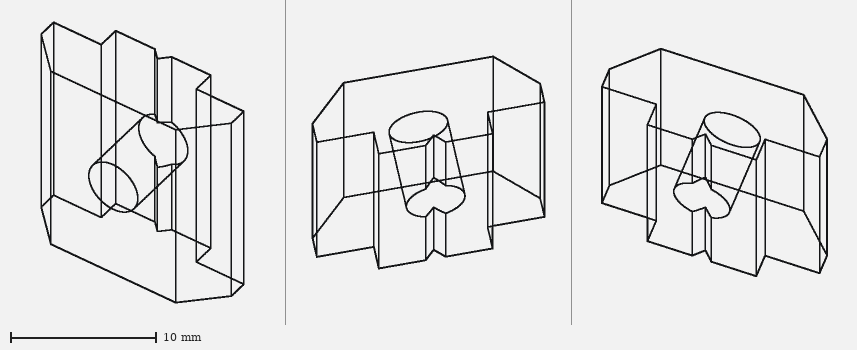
import cadquery as cq

width = 16.0
depth = 6.0
height = 16.0

bevel = 2.75
shoulder_y = 4.25
tongue_width = 8.0
groove_depth = 0.7

hole_diameter = 4.13

half_width = width / 2
half_tongue = tongue_width / 2
groove_half_width = groove_depth

half_profile = [
    (0, 0),
    (half_width - bevel, 0),
    (half_width, bevel),
    (half_width, shoulder_y),
    (half_tongue, shoulder_y),
    (half_tongue, depth),
    (groove_half_width, depth),
    (0, depth - groove_depth),
]

body = (
    cq.Workplane("XY")
    .workplane(offset=-height / 2)
    .polyline(half_profile)
    .mirrorY()
    .extrude(height)
)

hole = cq.Workplane("XZ").circle(hole_diameter / 2).extrude(-depth)

result = body.cut(hole)